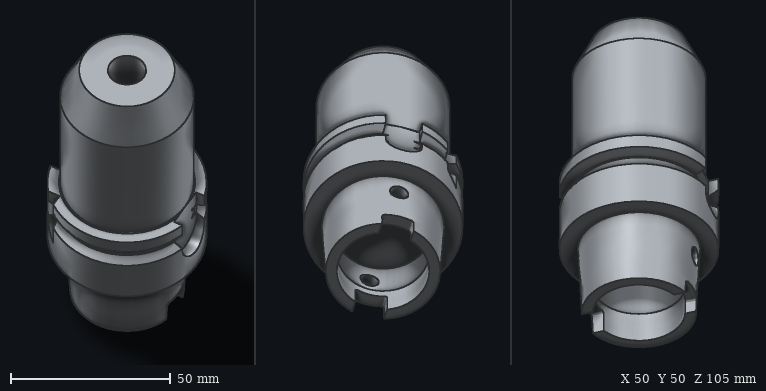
import cadquery as cq

total_height = 105.0
flange_bottom = 25.0
flange_top = 51.0
nose_start = 92.3

shank_end_radius = 18.0
shank_top_radius = 19.2
flange_radius = 25.0
groove_radius = 21.4
body_radius = 21.0
nose_radius = 15.0

collar_height = 0.3

groove_center = 43.2
groove_floor_width = 3.6
groove_mouth_width = 6.7
groove_ledge = 0.6

bore_diameter = 12.0
bore_depth = 47.2

cavity_radius = 15.8
cavity_mouth_radius = 14.5
cavity_mouth_depth = 10.5
cavity_depth = flange_bottom

slot_bottom = 32.2
slot_floor_distance = body_radius
left_slot_width = 12.0
right_slot_width = 14.1
notch_end_radius = 6.0
notch_offset = 15.5

cross_hole_diameter = 6.0
cross_hole_height = 17.5
keyway_width = 10.4
keyway_corner_radius = 1.0
left_keyway_height = 4.8
right_keyway_height = 7.6

cut_reach = 2 * flange_radius


def turned_body():
    """Revolved shank, grooved flange, cylindrical body and conical nose."""
    half_floor = groove_floor_width / 2
    half_mouth = groove_mouth_width / 2
    ledge_radius = groove_radius + groove_ledge
    profile = [
        (0, 0),
        (shank_end_radius, 0),
        (shank_top_radius, flange_bottom),
        (flange_radius, flange_bottom),
        (flange_radius, groove_center - half_mouth),
        (ledge_radius, groove_center - half_floor),
        (groove_radius, groove_center - half_floor),
        (groove_radius, groove_center + half_floor),
        (ledge_radius, groove_center + half_floor),
        (flange_radius, groove_center + half_mouth),
        (flange_radius, flange_top),
        (groove_radius, flange_top),
        (body_radius, flange_top + collar_height),
        (body_radius, nose_start),
        (nose_radius, total_height),
        (0, total_height),
    ]
    return cq.Workplane("XZ").polyline(profile).close().revolve(360, (0, 0), (0, 1))


def round_bottom_cutter(center_y, width, start_x, direction):
    """Upright slot with a semicircular bottom, running along X from start_x."""
    radius = width / 2
    arc_height = slot_bottom + radius
    cutter_top = flange_top + collar_height
    return (
        cq.Workplane("YZ", origin=(start_x, center_y, 0))
        .moveTo(-radius, cutter_top)
        .lineTo(-radius, arc_height)
        .threePointArc((0, slot_bottom), (radius, arc_height))
        .lineTo(radius, cutter_top)
        .close()
        .extrude(direction * cut_reach)
    )


def keyway_cutter(height, direction):
    """Open keyway in the shank end, running from the axis along X."""
    return (
        cq.Workplane("XY")
        .box(cut_reach, keyway_width, 2 * height)
        .edges("|X")
        .fillet(keyway_corner_radius)
        .translate((direction * cut_reach / 2, 0, 0))
    )


result = turned_body()

result = result.faces(">Z").workplane().hole(bore_diameter, bore_depth)

cavity = (
    cq.Workplane("XY")
    .circle(cavity_mouth_radius)
    .extrude(cavity_mouth_depth)
    .faces(">Z")
    .workplane()
    .circle(cavity_radius)
    .extrude(cavity_depth - cavity_mouth_depth)
)
result = result.cut(cavity)

result = result.cut(round_bottom_cutter(0, left_slot_width, -slot_floor_distance, -1))
result = result.cut(round_bottom_cutter(0, right_slot_width, slot_floor_distance, 1))
notch_center_y = -notch_offset - notch_end_radius
result = result.cut(round_bottom_cutter(notch_center_y, 2 * notch_end_radius, -notch_offset, -1))

cross_hole = (
    cq.Workplane("YZ", origin=(0, 0, cross_hole_height))
    .circle(cross_hole_diameter / 2)
    .extrude(cut_reach, both=True)
)
result = result.cut(cross_hole)

result = result.cut(keyway_cutter(left_keyway_height, -1))
result = result.cut(keyway_cutter(right_keyway_height, 1))